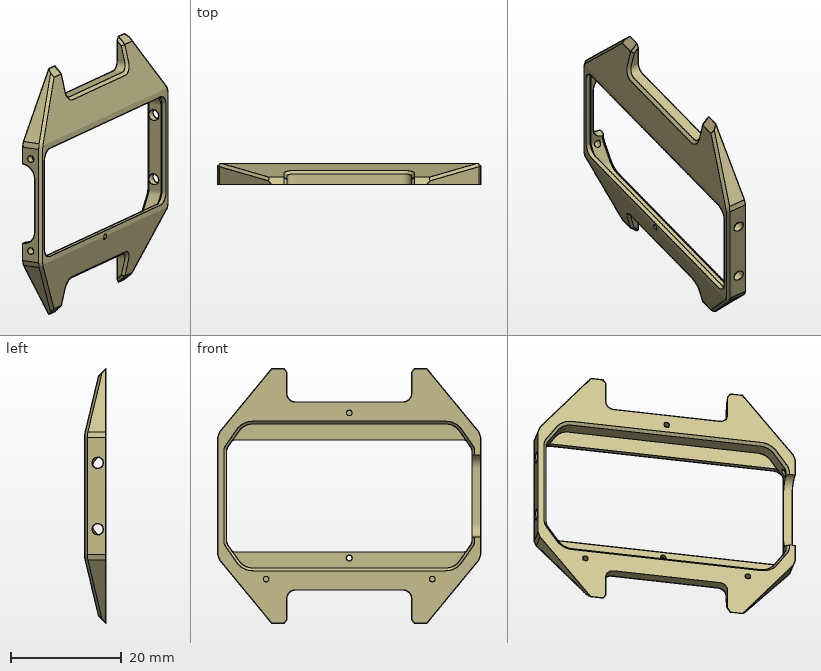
import cadquery as cq
import math

WIDTH = 47.5
HEIGHT = 46.0
THICKNESS = 3.85
HALF_WIDTH = WIDTH / 2
HALF_HEIGHT = HEIGHT / 2
TOLERANCE = 1e-3

SHOULDER_Z = 11.15
BACK_LAND_HALF = SHOULDER_Z
TIP_BEVEL = 1.35

SHOULDER_CHAMFER = 0.55
LUG_OUTER_X = 14.0
NOTCH_HALF_WIDTH = 11.25
NOTCH_FLOOR_Z = 17.0
NOTCH_FILLET = 1.5
EDGE_CHAMFER = 0.5

POCKET_HALF_WIDTH = 22.15
POCKET_HALF_HEIGHT = 13.0
POCKET_SIDE_CORNER_Z = 8.5
POCKET_TOP_CORNER_X = 19.0
POCKET_DEPTH = 3.0
POCKET_TOP_FILLET = 3.0
POCKET_SIDE_FILLET = 1.5
RIM_CHAMFER = 0.5

WINDOW_HALF_WIDTH = 22.5
WINDOW_HALF_HEIGHT = 10.1
WINDOW_FILLET = 2.0

SLOT_HALF_LENGTH = 7.43
SLOT_DEPTH = 2.5

SIDE_HOLE_DIAMETER = 2.0
SIDE_HOLE_Y = 1.5
SIDE_HOLE_Z = 6.0
PIN_HOLE_DIAMETER = 1.22
PIN_HOLE_Y = 1.7
PIN_HOLE_Z = 8.6
FRONT_HOLE_DIAMETER = 1.0
FRONT_HOLE_DEPTH = 1.5
FRONT_HOLES = [(0, 15.0), (-15.0, -15.0), (15.0, -15.0)]
LEDGE_HOLE_Z = -11.2


def front_plane(y=0.0):
    """Sketch plane parallel to the front face; a negative extrusion goes toward +Y."""
    return cq.Workplane("XZ", origin=(0, y, 0))


def mirrored_loop(quarter):
    """Close a quarter outline, running from the X side to the Z side, over all four quadrants."""
    upper = quarter + [(-x, z) for x, z in reversed(quarter)]
    return upper + [(x, -z) for x, z in reversed(upper)]


def plate():
    quarter = [
        (HALF_WIDTH, SHOULDER_Z),
        (LUG_OUTER_X, HALF_HEIGHT),
        (NOTCH_HALF_WIDTH, HALF_HEIGHT),
        (NOTCH_HALF_WIDTH, NOTCH_FLOOR_Z),
    ]
    body = front_plane().polyline(mirrored_loop(quarter)).close().extrude(-THICKNESS)
    for side in (-1, 1):
        for end in (-1, 1):
            shoulder = (side * HALF_WIDTH, THICKNESS / 2, end * SHOULDER_Z)
            body = body.edges(cq.NearestToPointSelector(shoulder)).chamfer(SHOULDER_CHAMFER)
            corner = (side * NOTCH_HALF_WIDTH, THICKNESS / 2, end * NOTCH_FLOOR_Z)
            body = body.edges(cq.NearestToPointSelector(corner)).fillet(NOTCH_FILLET)
    profile = [
        (THICKNESS, BACK_LAND_HALF),
        (TIP_BEVEL, HALF_HEIGHT - TIP_BEVEL),
        (0, HALF_HEIGHT),
    ]
    profile = profile + [(y, -z) for y, z in reversed(profile)]
    side_shape = cq.Workplane("YZ").polyline(profile).close().extrude(HALF_WIDTH, both=True)
    return body.intersect(side_shape)


def is_back_rim_edge(edge):
    """True for edges where the sides, slants and notches meet the back faces or the tip bevels."""
    box = edge.BoundingBox()
    if box.ymax < TOLERANCE:
        return False
    if box.xlen < TOLERANCE and box.zlen < TOLERANCE:
        return False
    distance_from_middle = min(abs(box.zmin), abs(box.zmax))
    if distance_from_middle > HALF_HEIGHT - TIP_BEVEL - TOLERANCE:
        return box.xlen < TOLERANCE
    runs_full_width = box.xmin < -NOTCH_HALF_WIDTH and box.xmax > NOTCH_HALF_WIDTH
    return not runs_full_width


def chamfer_back(body):
    rim = [edge for edge in body.edges().vals() if is_back_rim_edge(edge)]
    return body.newObject(rim).chamfer(EDGE_CHAMFER)


def pocket():
    quarter = [(POCKET_HALF_WIDTH, POCKET_SIDE_CORNER_Z), (POCKET_TOP_CORNER_X, POCKET_HALF_HEIGHT)]
    tool = front_plane().polyline(mirrored_loop(quarter)).close().extrude(-POCKET_DEPTH)
    for side in (-1, 1):
        for end in (-1, 1):
            for (x, z), radius in zip(quarter, (POCKET_SIDE_FILLET, POCKET_TOP_FILLET)):
                corner = (side * x, POCKET_DEPTH / 2, end * z)
                tool = tool.edges(cq.NearestToPointSelector(corner)).fillet(radius)
    return tool


def cut_pocket(body):
    """Sink the pocket and chamfer its rim on the front face."""
    body = body.cut(pocket())
    rim = body.faces("<Y").val().innerWires()[0].Edges()
    return body.newObject(rim).chamfer(RIM_CHAMFER)


def window():
    return (
        front_plane(POCKET_DEPTH)
        .rect(2 * WINDOW_HALF_WIDTH, 2 * WINDOW_HALF_HEIGHT)
        .extrude(POCKET_DEPTH - THICKNESS)
        .edges("|Y")
        .fillet(WINDOW_FILLET)
    )


def slot():
    """Slot through the +X wall; its ends are quarter rounds about the front edge."""
    floor_half = SLOT_HALF_LENGTH - SLOT_DEPTH
    lean = SLOT_DEPTH * math.sqrt(0.5)
    return (
        cq.Workplane("YZ")
        .moveTo(0, -SLOT_HALF_LENGTH)
        .threePointArc((lean, -floor_half - lean), (SLOT_DEPTH, -floor_half))
        .lineTo(SLOT_DEPTH, floor_half)
        .threePointArc((lean, floor_half + lean), (0, SLOT_HALF_LENGTH))
        .close()
        .extrude(HALF_WIDTH)
    )


def front_hole(x, z, depth):
    return front_plane().center(x, z).circle(FRONT_HOLE_DIAMETER / 2).extrude(-depth)


def wall_hole(side, diameter, y, z):
    """Hole along X through the wall on the given side (-1 or 1)."""
    return cq.Workplane("YZ").center(y, z).circle(diameter / 2).extrude(side * HALF_WIDTH)


result = chamfer_back(plate())
result = cut_pocket(result).cut(window()).cut(slot())
for hole_x, hole_z in FRONT_HOLES:
    result = result.cut(front_hole(hole_x, hole_z, FRONT_HOLE_DEPTH))
result = result.cut(front_hole(0, LEDGE_HOLE_Z, THICKNESS))
for end_sign in (-1, 1):
    result = result.cut(wall_hole(-1, SIDE_HOLE_DIAMETER, SIDE_HOLE_Y, end_sign * SIDE_HOLE_Z))
    result = result.cut(wall_hole(1, PIN_HOLE_DIAMETER, PIN_HOLE_Y, end_sign * PIN_HOLE_Z))